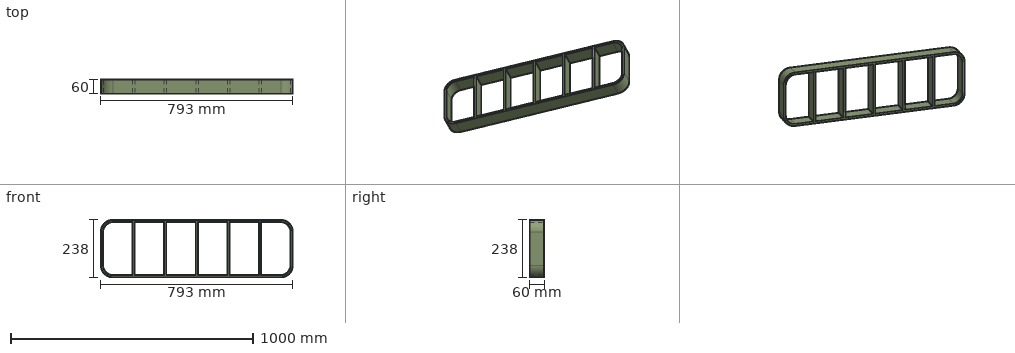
import cadquery as cq

length = 793.0
depth = 60.0
height = 238.0

wall = 10.0
corner_radius = 50.0

divider_count = 5
divider_thickness = 10.0

inner_length = length - 2 * wall
inner_height = height - 2 * wall
bay_width = (inner_length - divider_count * divider_thickness) / (divider_count + 1)
divider_pitch = bay_width + divider_thickness


def rounded_block(block_length, block_height, radius):
    """Block centred on the origin, with its four edges along Y rounded."""
    return cq.Workplane("XY").box(block_length, depth, block_height).edges("|Y").fillet(radius)


def make_frame():
    """Rounded rectangular ring of constant wall thickness, open along Y."""
    outer = rounded_block(length, height, corner_radius)
    opening = rounded_block(inner_length, inner_height, corner_radius - wall)
    return outer.cut(opening)


def add_dividers(frame):
    """Evenly spaced uprights, each sunk halfway into the top and bottom walls."""
    divider_height = inner_height + wall
    for index in range(divider_count):
        x = (index - (divider_count - 1) / 2) * divider_pitch
        divider = cq.Workplane("XY").box(divider_thickness, depth, divider_height)
        frame = frame.union(divider.translate((x, 0, 0)))
    return frame


result = add_dividers(make_frame())